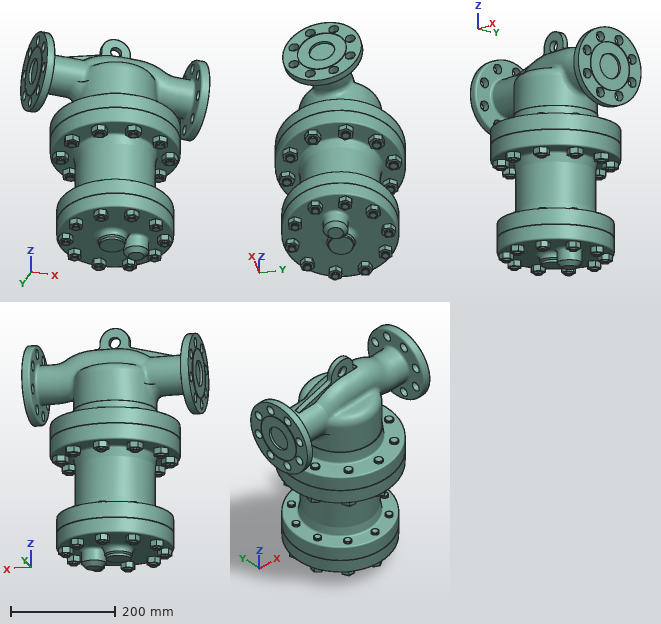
import cadquery as cq
import math


FACE_TO_FACE = 334.0
PIPE_R = 38.0
PIPE_FLANGE_R = 77.5
PIPE_FLANGE_T = 18.0
PIPE_FLANGE_EDGE_R = 4.0
PIPE_FLANGE_ROOT_R = 5.0
RAISED_FACE_R = 48.0
RAISED_FACE_T = 1.5
PORT_R = 25.0
PORT_DEPTH = 5.0
PIPE_HOLE_R = 9.5
PIPE_HOLE_CIRCLE_R = 60.0
PIPE_HOLE_COUNT = 8
INLET_END_X = -40.0

ARCH_Z = 22.8
ARCH_INLET_BEND_R = 88.0
ARCH_OUTLET_BEND_R = 65.0
ARCH_FLAT_END_X = 40.0
ARCH_END_X = 117.0
ARCH_INNER_ANGLE = 40.0

HEAD_R = 80.0
HEAD_TOP_Z = 14.8
DOME_EDGE_R = 20.0
HEAD_SKIRT_Z = -65.0
SKIRT_TOP_R = 81.25
SKIRT_BOTTOM_R = 84.0
HEAD_BLEND_R = 10.0
INLET_UNDERSIDE_BLEND_R = 16.0
INLET_UNDERSIDE_Z = -24.0
HEIGHT_TOLERANCE = 0.01

NECK_ROOT_R = 4.5
FLANGE_T = 32.0
JOINT_GAP = 1.0
FLANGE_EDGE_R = 3.0
UPPER_FLANGE_R = 125.0
UPPER_FLANGE_TOP_Z = -91.4
UPPER_JOINT_R = 92.5
BARREL_R = 77.0
NECK_R = 80.0
NECK_LENGTH = 15.5
LOWER_FLANGE_R = 112.5
LOWER_FLANGE_TOP_Z = -276.8
LOWER_JOINT_R = 80.0
COVER_T = 30.0

BOLT_COUNT = 10
FIRST_BOLT_ANGLE = 90.0
BOLT_STUB = 4.5
BOLT_TIP_CHAMFER = 1.5
NUT_H = 12.0
UPPER_BOLT_R = 9.0
UPPER_BOLT_CIRCLE_R = 105.0
UPPER_NUT_FLATS = 27.0
LOWER_BOLT_R = 8.0
LOWER_BOLT_CIRCLE_R = 95.0
LOWER_NUT_FLATS = 24.0

LUG_T = 11.0
LUG_R = 29.0
LUG_HOLE_R = 11.1
LUG_TOP_Z = 101.5
LUG_ROOT_R = 6.0
LUG_TAIL_X = -116.8
LUG_TAIL_ANGLE = 15.0
LUG_FOOT_RISE = 0.8

OVERALL_H = 475.95
BOSS_X = -6.5
BOSS_R = 27.0
BOSS_ROOT_R = 9.5
BOSS_TIP_R = 24.0
BOSS_TIP_H = 5.0
BOSS_BOTTOM_Z = -360.0
PLUG_R = 24.0
PLUG_ROOT_R = 5.0
PLUG_X = 42.4
PLUG_CHAMFER = 9.0

upper_flange_bottom_z = UPPER_FLANGE_TOP_Z - 2 * FLANGE_T - JOINT_GAP
lower_flange_bottom_z = LOWER_FLANGE_TOP_Z - FLANGE_T - COVER_T - JOINT_GAP
arch_crest_z = ARCH_Z + PIPE_R


def cylinder(radius, z_low, z_high):
    return cq.Workplane("XY").workplane(offset=z_low).circle(radius).extrude(z_high - z_low)


def head_shell():
    head = cylinder(HEAD_R, HEAD_SKIRT_Z, HEAD_TOP_Z)
    return head.faces(">Z").edges().fillet(DOME_EDGE_R)


def inlet_pipe():
    return (
        cq.Workplane("YZ", origin=(-FACE_TO_FACE / 2 + PIPE_FLANGE_T, 0, 0))
        .circle(PIPE_R)
        .extrude(INLET_END_X + FACE_TO_FACE / 2 - PIPE_FLANGE_T)
    )


def outlet_pipe():
    """Pipe that leaves the head as an arch and drops through an S-bend to the outlet flange."""
    s_angle = 2 * math.atan(ARCH_Z / (ARCH_END_X - ARCH_FLAT_END_X))
    lower_bend_r = (ARCH_END_X - ARCH_FLAT_END_X) / math.sin(s_angle) - ARCH_OUTLET_BEND_R
    inner_angle = math.radians(ARCH_INNER_ANGLE)

    def crest_point(center_x, bend_r, angle):
        return (center_x + bend_r * math.sin(angle), ARCH_Z - bend_r * (1 - math.cos(angle)))

    def inlet_bend(angle):
        return crest_point(0, ARCH_INLET_BEND_R, -angle)

    def outlet_bend(angle):
        return crest_point(ARCH_FLAT_END_X, ARCH_OUTLET_BEND_R, angle)

    lower_bend_middle = (
        ARCH_END_X - lower_bend_r * math.sin(s_angle / 2),
        lower_bend_r * (1 - math.cos(s_angle / 2)),
    )
    path = (
        cq.Workplane("XZ")
        .moveTo(*inlet_bend(inner_angle))
        .threePointArc(inlet_bend(inner_angle / 2), (0, ARCH_Z))
        .lineTo(ARCH_FLAT_END_X, ARCH_Z)
        .threePointArc(outlet_bend(s_angle / 2), outlet_bend(s_angle))
        .threePointArc(lower_bend_middle, (ARCH_END_X, 0))
        .lineTo(FACE_TO_FACE / 2 - PIPE_FLANGE_T, 0)
    )
    start_x, start_z = inlet_bend(inner_angle)
    start = cq.Plane(
        origin=(start_x, 0, start_z),
        xDir=(0, 1, 0),
        normal=(math.cos(inner_angle), 0, math.sin(inner_angle)),
    )
    return cq.Workplane(start).circle(PIPE_R).sweep(path)


def round_joints(joined, radius):
    """Round where pipes meet the head: the curved joint edges and the straight ones on its flat top."""
    curved_joints = joined.edges("%BSPLINE")
    straight_joints = joined.edges("%LINE").filter(
        lambda edge: abs(edge.Center().z - HEAD_TOP_Z) < HEIGHT_TOLERANCE
    )
    return curved_joints.add(straight_joints).fillet(radius)


def inlet_underside():
    """Lower part of the head and inlet, with the larger rounding that lies under the inlet pipe."""
    rounded = round_joints(head_shell().union(inlet_pipe()), INLET_UNDERSIDE_BLEND_R)
    height = INLET_UNDERSIDE_Z - HEAD_SKIRT_Z
    floor = cq.Workplane("XY").workplane(offset=HEAD_SKIRT_Z)
    below = floor.rect(FACE_TO_FACE, FACE_TO_FACE).extrude(height)
    return rounded.intersect(below)


def blended_head():
    """Head with both pipes joined on and every joint rounded."""
    joined = head_shell().union(inlet_pipe()).union(outlet_pipe())
    return round_joints(joined, HEAD_BLEND_R).union(inlet_underside())


def pipe_flange(side):
    """Flange on the end of a pipe; side is -1 at the inlet and +1 at the outlet."""
    inner_x = FACE_TO_FACE / 2 - PIPE_FLANGE_T
    root = PIPE_FLANGE_ROOT_R
    edge = PIPE_FLANGE_EDGE_R
    rim_x = FACE_TO_FACE / 2 - RAISED_FACE_T
    port_x = FACE_TO_FACE / 2 - PORT_DEPTH
    flange = (
        cq.Workplane("XY")
        .moveTo(inner_x - root, 0)
        .lineTo(inner_x - root, PIPE_R)
        .radiusArc((inner_x, PIPE_R + root), -root)
        .lineTo(inner_x, PIPE_FLANGE_R - edge)
        .radiusArc((inner_x + edge, PIPE_FLANGE_R), edge)
        .lineTo(rim_x, PIPE_FLANGE_R)
        .lineTo(rim_x, RAISED_FACE_R)
        .lineTo(FACE_TO_FACE / 2, RAISED_FACE_R)
        .lineTo(FACE_TO_FACE / 2, PORT_R)
        .lineTo(port_x, PORT_R)
        .lineTo(port_x, 0)
        .close()
        .revolve(360, (0, 0, 0), (1, 0, 0))
    )
    holes = (
        cq.Workplane("YZ", origin=(inner_x, 0, 0))
        .polarArray(PIPE_HOLE_CIRCLE_R, 180 / PIPE_HOLE_COUNT, 360, PIPE_HOLE_COUNT)
        .circle(PIPE_HOLE_R)
        .extrude(PIPE_FLANGE_T)
    )
    flange = flange.cut(holes)
    return flange if side > 0 else flange.mirror("YZ")


def lower_body():
    """Turned stack: head skirt, both flange pairs, barrel and cover."""
    root = NECK_ROOT_R
    edge = FLANGE_EDGE_R
    upper_joint_z = UPPER_FLANGE_TOP_Z - FLANGE_T
    lower_joint_z = LOWER_FLANGE_TOP_Z - FLANGE_T
    upper_neck_z = upper_flange_bottom_z - root
    lower_neck_z = LOWER_FLANGE_TOP_Z + root
    return (
        cq.Workplane("XZ")
        .moveTo(0, HEAD_SKIRT_Z)
        .lineTo(SKIRT_TOP_R, HEAD_SKIRT_Z)
        .lineTo(SKIRT_BOTTOM_R, UPPER_FLANGE_TOP_Z + root)
        .radiusArc((SKIRT_BOTTOM_R + root, UPPER_FLANGE_TOP_Z), -root)
        .lineTo(UPPER_FLANGE_R - edge, UPPER_FLANGE_TOP_Z)
        .radiusArc((UPPER_FLANGE_R, UPPER_FLANGE_TOP_Z - edge), edge)
        .lineTo(UPPER_FLANGE_R, upper_joint_z)
        .lineTo(UPPER_JOINT_R, upper_joint_z)
        .lineTo(UPPER_JOINT_R, upper_joint_z - JOINT_GAP)
        .lineTo(UPPER_FLANGE_R, upper_joint_z - JOINT_GAP)
        .lineTo(UPPER_FLANGE_R, upper_flange_bottom_z + edge)
        .radiusArc((UPPER_FLANGE_R - edge, upper_flange_bottom_z), edge)
        .lineTo(NECK_R + root, upper_flange_bottom_z)
        .radiusArc((NECK_R, upper_neck_z), -root)
        .lineTo(BARREL_R, upper_neck_z - NECK_LENGTH)
        .lineTo(BARREL_R, lower_neck_z + NECK_LENGTH)
        .lineTo(NECK_R, lower_neck_z)
        .radiusArc((NECK_R + root, LOWER_FLANGE_TOP_Z), -root)
        .lineTo(LOWER_FLANGE_R - edge, LOWER_FLANGE_TOP_Z)
        .radiusArc((LOWER_FLANGE_R, LOWER_FLANGE_TOP_Z - edge), edge)
        .lineTo(LOWER_FLANGE_R, lower_joint_z)
        .lineTo(LOWER_JOINT_R, lower_joint_z)
        .lineTo(LOWER_JOINT_R, lower_joint_z - JOINT_GAP)
        .lineTo(LOWER_FLANGE_R, lower_joint_z - JOINT_GAP)
        .lineTo(LOWER_FLANGE_R, lower_flange_bottom_z + edge)
        .radiusArc((LOWER_FLANGE_R - edge, lower_flange_bottom_z), edge)
        .lineTo(0, lower_flange_bottom_z)
        .close()
        .revolve(360, (0, 0, 0), (0, 1, 0))
    )


def bolt_ring(radius, circle_r, nut_flats, top_z, bottom_z):
    """Ring of through bolts with stubs above top_z and nuts below bottom_z, nut corners radial."""
    shank = cylinder(radius, bottom_z - NUT_H - BOLT_STUB, top_z + BOLT_STUB)
    shank = shank.faces("<Z or >Z").edges().chamfer(BOLT_TIP_CHAMFER)
    nut_corners = nut_flats / math.cos(math.pi / 6)
    nut = cq.Workplane("XY").workplane(offset=bottom_z).polygon(6, nut_corners).extrude(-NUT_H)
    bolt = shank.union(nut).translate((circle_r, 0, 0))
    pitch = 360 / BOLT_COUNT
    ring = cq.Workplane("XY")
    for index in range(BOLT_COUNT):
        ring = ring.add(bolt.rotate((0, 0, 0), (0, 0, 1), FIRST_BOLT_ANGLE + index * pitch))
    return ring.combine()


def lifting_lug():
    """Upright plate along the pipe with a round eye and a tail sloping down to the inlet pipe."""
    eye_z = LUG_TOP_Z - LUG_R
    foot_z = arch_crest_z + LUG_FOOT_RISE
    root = LUG_ROOT_R
    slope = math.radians(LUG_TAIL_ANGLE)
    corner_z = PIPE_R + (-LUG_R - LUG_TAIL_X) * math.tan(slope)
    tail_setback = root * math.tan((math.pi / 2 - slope) / 2)
    plate = (
        cq.Workplane("XZ", origin=(0, LUG_T / 2, 0))
        .moveTo(LUG_TAIL_X, PIPE_R)
        .lineTo(-LUG_R - tail_setback * math.cos(slope), corner_z - tail_setback * math.sin(slope))
        .radiusArc((-LUG_R, corner_z + tail_setback), -root)
        .lineTo(-LUG_R, eye_z)
        .threePointArc((0, LUG_TOP_Z), (LUG_R, eye_z))
        .lineTo(LUG_R, foot_z + root)
        .radiusArc((LUG_R + root, foot_z), -root)
        .lineTo(ARCH_FLAT_END_X, foot_z)
        .lineTo(ARCH_FLAT_END_X, ARCH_Z)
        .lineTo(0, ARCH_Z)
        .lineTo(LUG_TAIL_X, 0)
        .close()
        .extrude(LUG_T)
    )
    eye = cq.Workplane("XZ", origin=(0, LUG_T / 2, eye_z)).circle(LUG_HOLE_R).extrude(LUG_T)
    return plate.cut(eye)


def cover_boss():
    """Stepped round boss under the cover, set off the body axis."""
    root = BOSS_ROOT_R
    step_low_z = BOSS_BOTTOM_Z + BOSS_TIP_H
    boss = (
        cq.Workplane("XZ")
        .moveTo(0, lower_flange_bottom_z)
        .lineTo(BOSS_R + root, lower_flange_bottom_z)
        .radiusArc((BOSS_R, lower_flange_bottom_z - root), -root)
        .lineTo(BOSS_R, step_low_z + BOSS_R - BOSS_TIP_R)
        .lineTo(BOSS_TIP_R, step_low_z)
        .lineTo(BOSS_TIP_R, BOSS_BOTTOM_Z)
        .lineTo(0, BOSS_BOTTOM_Z)
        .close()
        .revolve(360, (0, 0, 0), (0, 1, 0))
    )
    return boss.translate((BOSS_X, 0, 0))


def drain_plug():
    """Chamfered plug under the cover with a rounded root."""
    root = PLUG_ROOT_R
    bottom_z = LUG_TOP_Z - OVERALL_H
    plug = (
        cq.Workplane("XZ")
        .moveTo(0, lower_flange_bottom_z)
        .lineTo(PLUG_R + root, lower_flange_bottom_z)
        .radiusArc((PLUG_R, lower_flange_bottom_z - root), -root)
        .lineTo(PLUG_R, bottom_z + PLUG_CHAMFER)
        .lineTo(PLUG_R - PLUG_CHAMFER, bottom_z)
        .lineTo(0, bottom_z)
        .close()
        .revolve(360, (0, 0, 0), (0, 1, 0))
    )
    return plug.translate((PLUG_X, 0, 0))


result = blended_head()
for piece in (
    lower_body(),
    pipe_flange(-1),
    pipe_flange(1),
    lifting_lug(),
    bolt_ring(
        UPPER_BOLT_R, UPPER_BOLT_CIRCLE_R, UPPER_NUT_FLATS, UPPER_FLANGE_TOP_Z, upper_flange_bottom_z
    ),
    bolt_ring(
        LOWER_BOLT_R, LOWER_BOLT_CIRCLE_R, LOWER_NUT_FLATS, LOWER_FLANGE_TOP_Z, lower_flange_bottom_z
    ),
    cover_boss(),
    drain_plug(),
):
    result = result.union(piece)